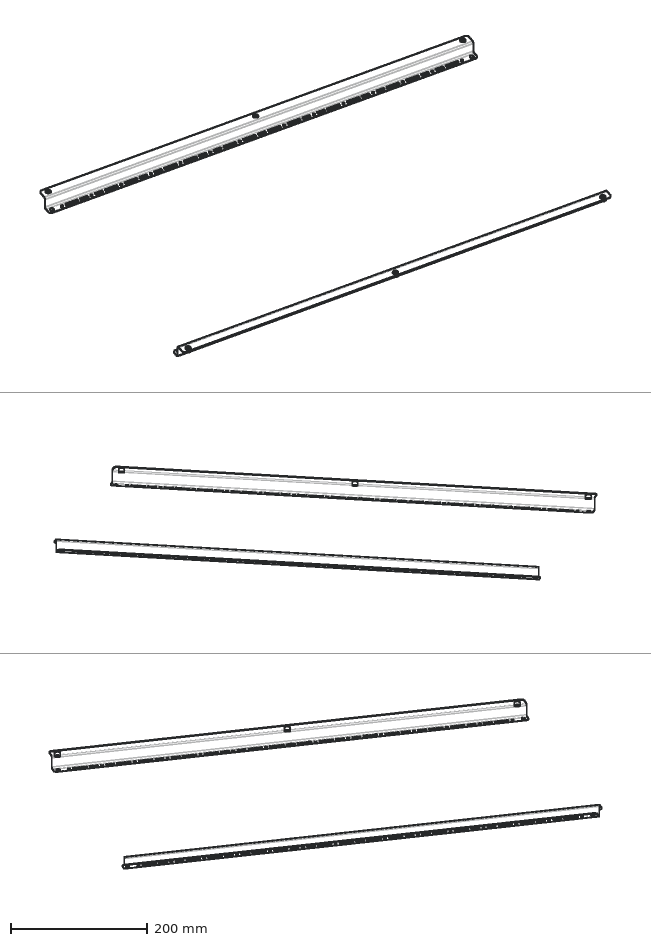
import cadquery as cq

OVERALL_WIDTH = 427.0
RAIL_LENGTH = 723.0
RAIL_HEIGHT = 21.0

SHEET = 1.5
INNER_BEND_RADIUS = 1.8
OUTER_BEND_RADIUS = INNER_BEND_RADIUS + SHEET
UPPER_FLANGE_WIDTH = 18.0
RAIL_WIDTH = 32.0
CORNER_CHAMFER = 3.05

STEPS_TO_LAST_SHORT_SLOT = 24
LAST_SHORT_SLOT_Y = 300.0
STEP = LAST_SHORT_SLOT_Y / STEPS_TO_LAST_SHORT_SLOT
STEPS_PER_PERIOD = 8
PERIOD_STARTS = range(0, STEPS_TO_LAST_SHORT_SLOT + 1, STEPS_PER_PERIOD)
HOLE_STEP = 3
SECOND_SHORT_SLOT_STEP = 6
SECOND_HOLE_STEP = 7
PUNCH_WIDTH = 4.0
PUNCH_INSET = 5.85
HOLE_DIAMETER = PUNCH_WIDTH
SHORT_SLOT_LENGTH = 12.0
WEB = STEP - (SHORT_SLOT_LENGTH + HOLE_DIAMETER) / 2
LONG_SLOT_LENGTH = HOLE_STEP * STEP - (SHORT_SLOT_LENGTH + HOLE_DIAMETER) / 2 - 2 * WEB
SHORT_TO_LONG_SLOT = (SHORT_SLOT_LENGTH + LONG_SLOT_LENGTH) / 2 + WEB

END_SLOT_LENGTH = 7.0
END_SLOT_WIDTH = 5.0
END_SLOT_Y = 354.0

NUT_SPACING = 350.0
NUT_YS = (-NUT_SPACING, 0, NUT_SPACING)
NUT_INSET = 6.9
NUT_BODY_DIAMETER = 9.0
NUT_BODY_HEIGHT = 5.0
NUT_SHANK_DIAMETER = 7.0
NUT_BORE_DIAMETER = 3.5

FREE_EDGE_X = -OVERALL_WIDTH / 2
WALL_INNER_X = FREE_EDGE_X + UPPER_FLANGE_WIDTH
WALL_OUTER_X = WALL_INNER_X - SHEET
LOWER_EDGE_X = FREE_EDGE_X + RAIL_WIDTH
UNDERSIDE_Z = RAIL_HEIGHT - SHEET
PUNCH_X = LOWER_EDGE_X - PUNCH_INSET
NUT_X = FREE_EDGE_X + NUT_INSET


def bend(body, x, z, radius):
    """Round the long edge that runs along Y through (x, z)."""
    return body.edges(cq.selectors.NearestToPointSelector((x, 0, z))).fillet(radius)


def rail_blank():
    """Unpunched left rail: upper flange outward, wall, lower flange inward."""
    blank = (
        cq.Workplane("XZ")
        .polyline([
            (FREE_EDGE_X, RAIL_HEIGHT),
            (WALL_INNER_X, RAIL_HEIGHT),
            (WALL_INNER_X, SHEET),
            (LOWER_EDGE_X, SHEET),
            (LOWER_EDGE_X, 0),
            (WALL_OUTER_X, 0),
            (WALL_OUTER_X, UNDERSIDE_Z),
            (FREE_EDGE_X, UNDERSIDE_Z),
        ])
        .close()
        .extrude(RAIL_LENGTH / 2, both=True)
    )
    blank = bend(blank, WALL_INNER_X, RAIL_HEIGHT, OUTER_BEND_RADIUS)
    blank = bend(blank, WALL_OUTER_X, UNDERSIDE_Z, INNER_BEND_RADIUS)
    blank = bend(blank, WALL_OUTER_X, 0, OUTER_BEND_RADIUS)
    blank = bend(blank, WALL_INNER_X, SHEET, INNER_BEND_RADIUS)
    return blank.edges("|Z").edges("<X or >X").chamfer(CORNER_CHAMFER)


def punch_points(distances):
    """Points on the punching line at the given distances to both sides of the middle."""
    ys = {side * distance for distance in distances for side in (-1, 1)}
    return cq.Workplane("XY").pushPoints([(PUNCH_X, y) for y in sorted(ys)])


def punch_lower_flange(rail):
    short_slots = []
    long_slots = []
    holes = []
    for start in PERIOD_STARTS:
        short_slots.append(start * STEP)
        long_slots.append(start * STEP + SHORT_TO_LONG_SLOT)
        holes.append((start + HOLE_STEP) * STEP)
        if start < STEPS_TO_LAST_SHORT_SLOT:
            second_short_slot = (start + SECOND_SHORT_SLOT_STEP) * STEP
            long_slots.append(second_short_slot - SHORT_TO_LONG_SLOT)
            short_slots.append(second_short_slot)
            holes.append((start + SECOND_HOLE_STEP) * STEP)

    rail = rail.cut(punch_points(short_slots).rect(PUNCH_WIDTH, SHORT_SLOT_LENGTH).extrude(SHEET))
    rail = rail.cut(punch_points(long_slots).rect(PUNCH_WIDTH, LONG_SLOT_LENGTH).extrude(SHEET))
    rail = rail.cut(punch_points(holes).circle(HOLE_DIAMETER / 2).extrude(SHEET))
    end_slots = punch_points([END_SLOT_Y]).slot2D(END_SLOT_LENGTH, END_SLOT_WIDTH)
    return rail.cut(end_slots.extrude(SHEET))


def nut_shank(y):
    """Shank of a clinch nut, filling its hole in the upper flange."""
    plane = cq.Workplane("XY", origin=(NUT_X, y, UNDERSIDE_Z))
    return plane.circle(NUT_SHANK_DIAMETER / 2).extrude(SHEET)


def make_rail():
    rail = punch_lower_flange(rail_blank())
    for y in NUT_YS:
        rail = rail.cut(nut_shank(y))
    return rail


def make_nut(y):
    body_plane = cq.Workplane("XY", origin=(NUT_X, y, UNDERSIDE_Z - NUT_BODY_HEIGHT))
    body = body_plane.circle(NUT_BODY_DIAMETER / 2).extrude(NUT_BODY_HEIGHT)
    bore = body_plane.circle(NUT_BORE_DIAMETER / 2).extrude(NUT_BODY_HEIGHT + SHEET)
    return body.union(nut_shank(y)).cut(bore)


left_rail = make_rail().val()
left_nuts = [make_nut(y).val() for y in NUT_YS]
right_rail = left_rail.mirror("YZ")
right_nuts = [nut.mirror("YZ") for nut in left_nuts]

result = cq.Compound.makeCompound([left_rail, *left_nuts, right_rail, *right_nuts])